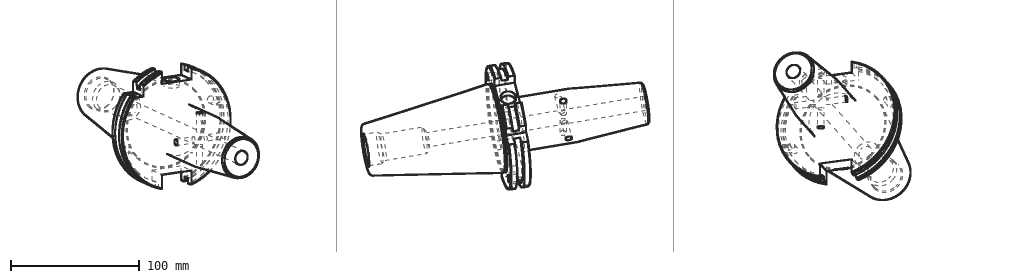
import cadquery as cq
import math

LENGTH = 221.8
TAPER_LENGTH = 101.8
GAUGE_LAND = 1.0
FLANGE_START = 104.9
FLANGE_WIDTH = 16.0
FLANGE_END = FLANGE_START + FLANGE_WIDTH
NOSE_TAPER_START = 164.5

TAPER_RATIO = 7 / 24
GAUGE_RADIUS = 35.0
SMALL_END_RADIUS = GAUGE_RADIUS - TAPER_LENGTH * TAPER_RATIO / 2
SMALL_END_ROUND = 2.7
UNDERCUT_DEPTH = 0.7
UNDERCUT_WIDTH = 1.5
FLANGE_RADIUS = 48.8
FLANGE_CHAMFER = 0.7
SHANK_RADIUS = 21.0
SHANK_FILLET = 2.9
NOSE_END_RADIUS = 16.5
NOSE_CHAMFER = 1.3

GROOVE_CENTRE = FLANGE_START + FLANGE_WIDTH / 2
GROOVE_FLOOR_RADIUS = 45.0
GROOVE_FLOOR_WIDTH = 4.9
GROOVE_MOUTH_WIDTH = 6.0
GROOVE_WALL_HEIGHT = 2.0

SLOT_WIDTH = 26.2
UPPER_SLOT_FLOOR = 37.7
LOWER_SLOT_FLOOR = 35.5
NOTCH_OFFSET = 29.7

POCKET_DIAMETER = 12.0
POCKET_DEPTH = 5.5

COOLANT_CIRCLE_RADIUS = 42.0
COOLANT_ANGLE = 20.0
COOLANT_DIAMETER = 5.8
COOLANT_DEPTH = 8.0
OUTLET_DIAMETER = 3.5

MOUTH_RADIUS = 13.3
COUNTERBORE_RADIUS = 12.5
COUNTERBORE_DEPTH = 9.5
RELIEF_END_RADIUS = 12.2
RELIEF_END = 11.0
THREAD_RADIUS = 10.5
THREAD_END = 46.5
THROUGH_RADIUS = 5.5
LEAD_IN_ANGLE = 30.0
BORE_CONE_ANGLE = 60.0

CROSS_HOLE_DIAMETER = 4.9
CROSS_HOLE_X = 156.5
CROSS_HOLE_COUNT = 4


def revolve_about_x(profile):
    """Close a half profile in the XY plane and turn it into a solid around X."""
    return profile.close().revolve(360, (0, 0, 0), (1, 0, 0))


def make_taper():
    undercut_radius = GAUGE_RADIUS - UNDERCUT_DEPTH
    land_end = TAPER_LENGTH + GAUGE_LAND
    undercut_end = land_end + UNDERCUT_WIDTH
    taper = revolve_about_x(
        cq.Workplane("XY")
        .lineTo(0, SMALL_END_RADIUS)
        .lineTo(TAPER_LENGTH, GAUGE_RADIUS)
        .lineTo(land_end, GAUGE_RADIUS)
        .lineTo(land_end + UNDERCUT_DEPTH, undercut_radius)
        .lineTo(undercut_end - UNDERCUT_DEPTH, undercut_radius)
        .lineTo(undercut_end, GAUGE_RADIUS)
        .lineTo(FLANGE_START, GAUGE_RADIUS)
        .lineTo(FLANGE_START, 0)
    )
    return taper.faces("<X").edges().fillet(SMALL_END_ROUND)


def make_flange():
    flange = (
        cq.Workplane("YZ", origin=(FLANGE_START, 0, 0))
        .circle(FLANGE_RADIUS)
        .extrude(FLANGE_WIDTH)
        .edges()
        .chamfer(FLANGE_CHAMFER)
    )
    wall_top = GROOVE_FLOOR_RADIUS + GROOVE_WALL_HEIGHT
    half_floor = GROOVE_FLOOR_WIDTH / 2
    half_mouth = GROOVE_MOUTH_WIDTH / 2
    groove = revolve_about_x(
        cq.Workplane("XY")
        .moveTo(GROOVE_CENTRE - half_floor, GROOVE_FLOOR_RADIUS)
        .lineTo(GROOVE_CENTRE + half_floor, GROOVE_FLOOR_RADIUS)
        .lineTo(GROOVE_CENTRE + half_floor, wall_top)
        .lineTo(GROOVE_CENTRE + half_mouth, FLANGE_RADIUS)
        .lineTo(GROOVE_CENTRE - half_mouth, FLANGE_RADIUS)
        .lineTo(GROOVE_CENTRE - half_floor, wall_top)
    )
    return flange.cut(groove)


def make_shank():
    shank = revolve_about_x(
        cq.Workplane("XY")
        .moveTo(FLANGE_END, 0)
        .lineTo(FLANGE_END, SHANK_RADIUS + SHANK_FILLET)
        .radiusArc((FLANGE_END + SHANK_FILLET, SHANK_RADIUS), -SHANK_FILLET)
        .lineTo(NOSE_TAPER_START, SHANK_RADIUS)
        .lineTo(LENGTH, NOSE_END_RADIUS)
        .lineTo(LENGTH, 0)
    )
    return shank.faces(">X").edges().chamfer(NOSE_CHAMFER)


def flange_block(y_min, y_max, z_min, z_max):
    """Box spanning the flange width."""
    return cq.Workplane("XY", origin=(FLANGE_START, y_min, z_min)).box(
        FLANGE_WIDTH, y_max - y_min, z_max - z_min, centered=False
    )


def make_flange_cutouts():
    half_slot = SLOT_WIDTH / 2
    upper_slot = flange_block(-half_slot, half_slot, UPPER_SLOT_FLOOR, FLANGE_RADIUS)
    lower_slot = flange_block(-half_slot, half_slot, -FLANGE_RADIUS, -LOWER_SLOT_FLOOR)
    notch = flange_block(-FLANGE_RADIUS, -NOTCH_OFFSET, NOTCH_OFFSET, FLANGE_RADIUS)
    pocket = (
        cq.Workplane("XY", origin=(GROOVE_CENTRE, 0, UPPER_SLOT_FLOOR))
        .circle(POCKET_DIAMETER / 2)
        .extrude(-POCKET_DEPTH)
    )
    return upper_slot.union(lower_slot).union(notch).union(pocket)


def make_coolant_hole():
    axial = (
        cq.Workplane("YZ", origin=(FLANGE_START, 0, 0))
        .center(COOLANT_CIRCLE_RADIUS, 0)
        .circle(COOLANT_DIAMETER / 2)
        .extrude(COOLANT_DEPTH)
    )
    outlet = (
        cq.Workplane("XZ", origin=(GROOVE_CENTRE, COOLANT_CIRCLE_RADIUS, 0))
        .circle(OUTLET_DIAMETER / 2)
        .extrude(COOLANT_CIRCLE_RADIUS - FLANGE_RADIUS)
    )
    return axial.union(outlet).rotate((0, 0, 0), (1, 0, 0), COOLANT_ANGLE)


def make_bore():
    mouth_chamfer = MOUTH_RADIUS - COUNTERBORE_RADIUS
    lead_in_length = (RELIEF_END_RADIUS - THREAD_RADIUS) / math.tan(math.radians(LEAD_IN_ANGLE))
    cone_length = (THREAD_RADIUS - THROUGH_RADIUS) / math.tan(math.radians(BORE_CONE_ANGLE))
    return revolve_about_x(
        cq.Workplane("XY")
        .lineTo(0, MOUTH_RADIUS)
        .lineTo(mouth_chamfer, COUNTERBORE_RADIUS)
        .lineTo(COUNTERBORE_DEPTH, COUNTERBORE_RADIUS)
        .lineTo(RELIEF_END, RELIEF_END_RADIUS)
        .lineTo(RELIEF_END + lead_in_length, THREAD_RADIUS)
        .lineTo(THREAD_END, THREAD_RADIUS)
        .lineTo(THREAD_END + cone_length, THROUGH_RADIUS)
        .lineTo(LENGTH, THROUGH_RADIUS)
        .lineTo(LENGTH, 0)
    )


def make_cross_hole():
    return (
        cq.Workplane("XY", origin=(CROSS_HOLE_X, 0, 0))
        .circle(CROSS_HOLE_DIAMETER / 2)
        .extrude(SHANK_RADIUS)
    )


result = make_taper().union(make_flange()).union(make_shank())
result = result.cut(make_flange_cutouts()).cut(make_bore())
for turn in (0, 180):
    result = result.cut(make_coolant_hole().rotate((0, 0, 0), (1, 0, 0), turn))
for index in range(CROSS_HOLE_COUNT):
    angle = index * 360 / CROSS_HOLE_COUNT
    result = result.cut(make_cross_hole().rotate((0, 0, 0), (1, 0, 0), angle))